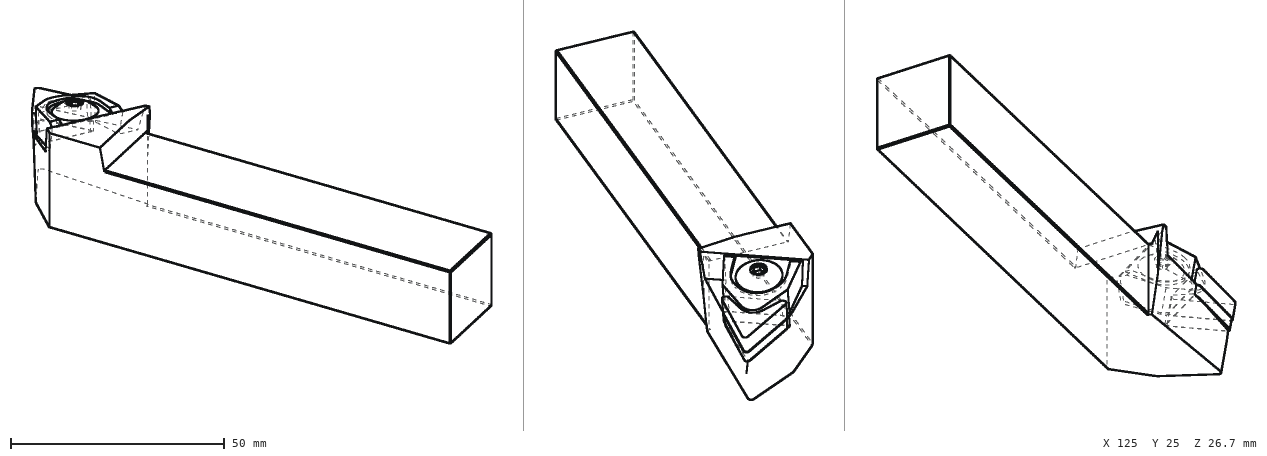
import cadquery as cq
import math

length = 125.0
shank_side = 20.0
edge_chamfer = 0.3

head_top = 26.0
head_side = 23.4
head_corner_x = 17.5
step_top_x = 31.0
step_bottom_x = 32.1
flare_start = (31.5, 21.9)
flare_end = (32.5, shank_side)
crown_height = 1.6
strip_start = 15.4
strip_angle = 50.0

lead_angle = 3.0
tilt_angle = 6.0
inscribed_diameter = 9.5
nose_radius = 0.8
insert_thickness = 4.8
shim_thickness = 3.1
shim_inset = 0.1
flank_inset = 0.2
tip_height = 20.0
tip_reach = 25.0
corner_angle = 60.0

clamp_floor = -5.0
wall_foot = 25.0
wall_lean = 17.0
clamp_top = 2.4
clamp_apex = 7.9
clamp_apex_radius = 3.8
clamp_shoulder_half_width = 7.8
clamp_heel_half_width = 9.4
nose_ramp_start = 9.4
nose_ramp_height = 0.8
nose_ramp_end = 15.6
heel_chamfer_length = 1.6
heel_chamfer_height = 1.0
recess_radius = 6.6
recess_floor = 1.2

screw_position = 20.6
screw_diameter = 11.0
screw_top = 3.8
socket_flats = 2.5
socket_depth = 1.9
socket_rim_diameter = 3.9
socket_rim_depth = 0.6

overshoot = 50.0

triangle_height = inscribed_diameter * 1.5
shim_top = -insert_thickness
shim_bottom = shim_top - shim_thickness

lead = math.radians(lead_angle)
slope = math.tan(math.radians(tilt_angle))
slope_x = slope * (math.cos(lead) - math.sin(lead))
slope_y = -slope * (math.cos(lead) + math.sin(lead))
corner = math.radians(corner_angle)
bisector = lead + corner / 2

tip_x = nose_radius - 2 * nose_radius * math.cos(bisector)
tip_y = tip_reach - nose_radius + 2 * nose_radius * math.sin(bisector)
tip = cq.Vector(tip_x, tip_y, tip_height)
insert_axis = cq.Vector(-slope_x, -slope_y, 1)


def tilted_plane(plan_angle):
    """Plane of the insert top with local x running at a plan angle below the X axis."""
    run_x = math.cos(plan_angle)
    run_y = -math.sin(plan_angle)
    direction = cq.Vector(run_x, run_y, slope_x * run_x + slope_y * run_y)
    return cq.Plane(origin=tip, xDir=direction, normal=insert_axis)


edge_plane = tilted_plane(lead)
clamp_plane = tilted_plane(bisector)
clamp_section = cq.Plane(origin=tip, xDir=clamp_plane.xDir, normal=-clamp_plane.yDir)


def wall_at(height):
    """Position of the leaning wall at a height above the insert top."""
    return wall_foot + (height - clamp_floor) * math.tan(math.radians(wall_lean))


def triangle_plate(inset, top, thickness):
    """Rounded equilateral plate, inset on all sides from the insert outline."""
    front = 2 * inset
    back = triangle_height - inset
    half_side = (back - front) / math.sqrt(3)
    return (
        cq.Workplane(clamp_plane).workplane(offset=top - thickness)
        .polyline([(front, 0), (back, -half_side), (back, half_side)]).close()
        .extrude(thickness)
        .edges(cq.selectors.ParallelDirSelector(insert_axis)).fillet(nose_radius)
    )


def section_solid(points):
    """Prism across the clamp, from a profile of (bisector distance, height)."""
    return cq.Workplane(clamp_section).polyline(points).close().extrude(overshoot, both=True)


def make_shank():
    """Square bar with its long edges and its end broken."""
    return (
        cq.Workplane("XY").box(length - step_top_x, shank_side, shank_side, centered=False)
        .translate((step_top_x, 0, 0))
        .edges("|X or >X").chamfer(edge_chamfer)
    )


def head_envelope():
    """Upright outline of the head with the sloped step cut from its rear end."""
    plan = [
        (head_corner_x, 0),
        (flare_end[0], 0),
        flare_end,
        flare_start,
        (flare_start[0], head_side),
        (head_corner_x - head_side, head_side),
    ]
    envelope = cq.Workplane("XY").polyline(plan).close().extrude(head_top)
    envelope = envelope.faces("<Y").edges("<Z").chamfer(edge_chamfer)
    step = (
        cq.Workplane("XZ")
        .polyline([
            (step_top_x, head_top),
            (step_bottom_x, shank_side),
            (length, shank_side),
            (length, head_top),
        ]).close()
        .extrude(-overshoot)
    )
    return envelope.cut(step)


def head_flanks():
    """Leaning prism whose sides run parallel to the insert axis."""
    tip_setback = flank_inset / math.tan(corner / 2)
    strip = math.radians(strip_angle - lead_angle)
    strip_x = tip_setback + strip_start * math.cos(corner)
    strip_y = -flank_inset - strip_start * math.sin(corner)
    strip_end_x = strip_x + overshoot * math.cos(strip)
    strip_end_y = strip_y - overshoot * math.sin(strip)
    outline = [
        (tip_setback, -flank_inset),
        (overshoot, -flank_inset),
        (overshoot, strip_end_y),
        (strip_end_x, strip_end_y),
        (strip_x, strip_y),
    ]
    flanks = (
        cq.Workplane(edge_plane).workplane(offset=crown_height)
        .polyline(outline).close().extrude(-overshoot)
    )
    tip_edge_middle = edge_plane.toWorldCoords(
        (tip_setback, -flank_inset, crown_height - overshoot / 2)
    )
    return flanks.edges(cq.selectors.NearestToPointSelector(tip_edge_middle.toTuple())).fillet(nose_radius)


def make_head():
    """Head with the stepped seat for the shim and the clamp, up to the leaning wall."""
    seat = section_solid([
        (-overshoot, shim_bottom),
        (triangle_height, shim_bottom),
        (triangle_height, clamp_floor),
        (wall_foot, clamp_floor),
        (wall_at(overshoot), overshoot),
        (-overshoot, overshoot),
    ])
    return head_envelope().intersect(head_flanks()).cut(seat)


def make_clamp():
    """Wedge with a ramped nose on the insert and a recess open to the wall."""
    shoulder = clamp_apex + clamp_shoulder_half_width
    wall_top = wall_at(clamp_top)
    plan = [
        (clamp_apex, 0),
        (shoulder, -clamp_shoulder_half_width),
        (wall_top, -clamp_heel_half_width),
        (wall_top, clamp_heel_half_width),
        (shoulder, clamp_shoulder_half_width),
    ]
    block = (
        cq.Workplane(clamp_plane).workplane(offset=clamp_floor)
        .polyline(plan).close().extrude(clamp_top - clamp_floor)
    )
    apex_edge_middle = clamp_plane.toWorldCoords((clamp_apex, 0, (clamp_top + clamp_floor) / 2))
    apex_edge = cq.selectors.NearestToPointSelector(apex_edge_middle.toTuple())
    block = block.edges(apex_edge).fillet(clamp_apex_radius)
    chamfer_foot = clamp_top - heel_chamfer_height
    profile = section_solid([
        (nose_ramp_start, 0),
        (triangle_height, 0),
        (triangle_height, clamp_floor),
        (wall_foot, clamp_floor),
        (wall_at(chamfer_foot), chamfer_foot),
        (wall_at(chamfer_foot) - heel_chamfer_length, clamp_top),
        (nose_ramp_end, clamp_top),
        (nose_ramp_start, nose_ramp_height),
    ])
    recess = (
        cq.Workplane(clamp_plane).workplane(offset=recess_floor)
        .moveTo(screw_position, -recess_radius)
        .lineTo(overshoot, -recess_radius)
        .lineTo(overshoot, recess_radius)
        .lineTo(screw_position, recess_radius)
        .threePointArc((screw_position - recess_radius, 0), (screw_position, -recess_radius))
        .close().extrude(clamp_top)
    )
    return block.intersect(profile).cut(recess)


def make_screw_head():
    """Domed head turned about the screw axis, with a stepped hexagon socket."""
    radius = screw_diameter / 2
    dome_height = screw_top - recess_floor
    dome_radius = (radius ** 2 + dome_height ** 2) / (2 * dome_height)
    half_radius = radius / 2
    mid_height = screw_top - dome_radius + math.sqrt(dome_radius ** 2 - half_radius ** 2)
    dome = (
        cq.Workplane(clamp_section)
        .moveTo(screw_position, clamp_floor)
        .lineTo(screw_position + radius, clamp_floor)
        .lineTo(screw_position + radius, recess_floor)
        .threePointArc((screw_position + half_radius, mid_height), (screw_position, screw_top))
        .close()
        .revolve(360, (screw_position, 0), (screw_position, 1))
    )
    socket_corners = socket_flats / math.cos(math.radians(30))
    socket = (
        cq.Workplane(clamp_plane).workplane(offset=screw_top - socket_depth)
        .center(screw_position, 0)
        .polygon(6, socket_corners).extrude(2 * socket_depth)
    )
    socket_rim = (
        cq.Workplane(clamp_plane).workplane(offset=screw_top - socket_rim_depth)
        .center(screw_position, 0)
        .circle(socket_rim_diameter / 2).extrude(2 * socket_rim_depth)
    )
    return dome.cut(socket).cut(socket_rim)


def make_holder():
    """Shank, head, shim, clamp and clamp screw as one solid."""
    shim = triangle_plate(shim_inset, shim_top, shim_thickness)
    return (
        make_shank()
        .union(make_head())
        .union(shim)
        .union(make_clamp())
        .union(make_screw_head())
    )


insert = triangle_plate(0, 0, insert_thickness)
holder = make_holder()

result = cq.Compound.makeCompound([holder.val(), insert.val()])